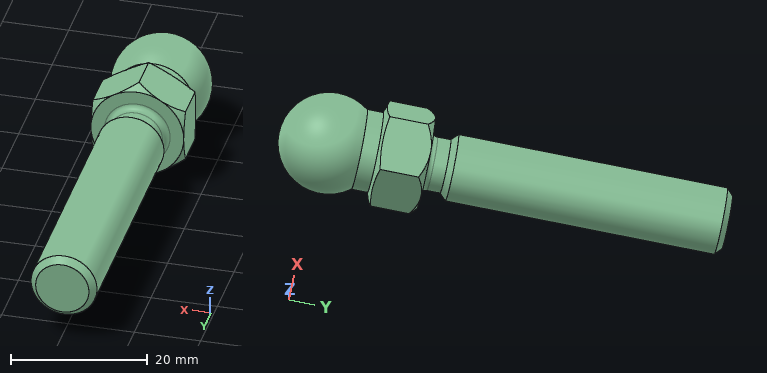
import cadquery as cq
import math

total_length = 66.95
ball_radius = 7.5
neck_radius = 12.0 / 2
shank_radius = 10.0 / 2
groove_radius = 8.0 / 2
hex_across_flats = 14.0
hex_corner_radius = hex_across_flats / 2 / math.cos(math.pi / 6)

hex_cone_start = 14.4
hex_cone_end = 15.1
hex_back = 21.95
shank_start = 25.85

shank_chamfer = shank_radius - groove_radius
groove_fillet = 0.95
hex_bevel = hex_corner_radius - hex_across_flats / 2
ball_neck_joint = ball_radius + math.sqrt(ball_radius**2 - neck_radius**2)


def revolve_about_axis(profile):
    """Turn a closed (radius, length) profile about the Y axis."""
    return profile.close().revolve(360, (0, 0, 0), (0, 1, 0))


def make_ball_and_neck():
    profile = (
        cq.Workplane("XY")
        .moveTo(0, 0)
        .threePointArc((ball_radius, ball_radius), (neck_radius, ball_neck_joint))
        .lineTo(neck_radius, hex_back)
        .lineTo(0, hex_back)
    )
    return revolve_about_axis(profile)


def make_hexagon():
    """Hexagon with corners at +Z and -Z, bevelled by a cone at each end."""
    prism = (
        cq.Workplane("XZ", origin=(0, hex_cone_start, 0))
        .transformed(rotate=(0, 0, 90))
        .polygon(6, 2 * hex_corner_radius)
        .extrude(hex_cone_start - hex_back)
    )
    envelope = (
        cq.Workplane("XY")
        .moveTo(0, hex_cone_start)
        .lineTo(neck_radius, hex_cone_start)
        .lineTo(hex_corner_radius, hex_cone_end)
        .lineTo(hex_corner_radius, hex_back - hex_bevel)
        .lineTo(hex_corner_radius - hex_bevel, hex_back)
        .lineTo(0, hex_back)
    )
    return prism.intersect(revolve_about_axis(envelope))


def make_shank():
    """Shank with chamfered ends and a relief groove filleted into the hexagon."""
    fillet_centre_radius = groove_radius + groove_fillet
    fillet_centre_length = hex_back + groove_fillet
    fillet_reach = groove_fillet * math.sqrt(0.5)
    fillet_middle = (fillet_centre_radius - fillet_reach, fillet_centre_length - fillet_reach)
    profile = (
        cq.Workplane("XY")
        .moveTo(0, hex_cone_end)
        .lineTo(fillet_centre_radius, hex_cone_end)
        .lineTo(fillet_centre_radius, hex_back)
        .threePointArc(fillet_middle, (groove_radius, fillet_centre_length))
        .lineTo(groove_radius, shank_start - shank_chamfer)
        .lineTo(shank_radius, shank_start)
        .lineTo(shank_radius, total_length - shank_chamfer)
        .lineTo(shank_radius - shank_chamfer, total_length)
        .lineTo(0, total_length)
    )
    return revolve_about_axis(profile)


result = make_ball_and_neck().union(make_hexagon()).union(make_shank())